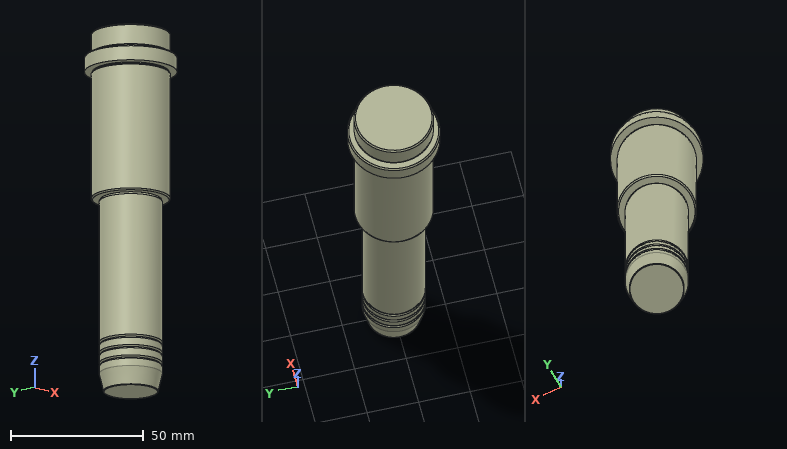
import cadquery as cq

total_length = 140.0
flange_diameter = 35.0
body_diameter = 30.0
pin_diameter = 24.0
tip_diameter = 20.7

head_length = 9.0
flange_thickness = 6.0
body_length = 50.0
edge_bevel = 0.5
relief_width = 0.4

pin_bevel_length = 0.8
pin_bevel_depth = 0.4

tip_length = 7.0
tip_bevel = 0.3

groove_width = 1.3
groove_depth = 0.5
groove_count = 3
groove_pitch = 4.0
lowest_groove_height = 10.5

flange_radius = flange_diameter / 2
body_radius = body_diameter / 2
relief_radius = body_radius - edge_bevel
pin_radius = pin_diameter / 2
tip_radius = tip_diameter / 2
flange_top = total_length - head_length
flange_bottom = flange_top - flange_thickness
shoulder = flange_bottom - body_length


def cylinder(radius, bottom, top):
    """Upright cylinder between two levels."""
    return cq.Workplane("XY").workplane(offset=bottom).circle(radius).extrude(top - bottom)


def make_head():
    """Top spigot, bevelled at both ends."""
    spigot = cylinder(body_radius, flange_top + relief_width, total_length)
    return spigot.faces("<Z or >Z").chamfer(edge_bevel)


def make_flange():
    """Locating collar, bevelled on its upper edge only."""
    return cylinder(flange_radius, flange_bottom, flange_top).faces(">Z").chamfer(edge_bevel)


def make_reliefs():
    """Core that runs through the flange and leaves a narrow neck on each side of it."""
    return cylinder(relief_radius, flange_bottom - relief_width, flange_top + relief_width)


def make_body():
    """Fitted cylinder below the flange, bevelled at both ends."""
    barrel = cylinder(body_radius, shoulder, flange_bottom - relief_width)
    return barrel.faces("<Z or >Z").chamfer(edge_bevel)


def make_pin():
    """Guide pin with a tapered tip and a short taper under the shoulder."""
    profile = (
        cq.Workplane("XZ")
        .lineTo(tip_radius - tip_bevel, 0)
        .lineTo(tip_radius, tip_bevel)
        .lineTo(pin_radius, tip_length)
        .lineTo(pin_radius, shoulder - pin_bevel_length)
        .lineTo(pin_radius - pin_bevel_depth, shoulder)
        .lineTo(0, shoulder)
        .close()
    )
    return profile.revolve(360, (0, 0, 0), (0, 1, 0))


def make_groove(height):
    """Ring that cuts a V groove around the pin, centred at the given height."""
    profile = (
        cq.Workplane("XZ")
        .moveTo(pin_radius, height - groove_width / 2)
        .lineTo(pin_radius - groove_depth, height)
        .lineTo(pin_radius, height + groove_width / 2)
        .close()
    )
    return profile.revolve(360, (0, 0, 0), (0, 1, 0))


result = make_pin().union(make_body()).union(make_reliefs()).union(make_flange()).union(make_head())
for index in range(groove_count):
    result = result.cut(make_groove(lowest_groove_height + index * groove_pitch))